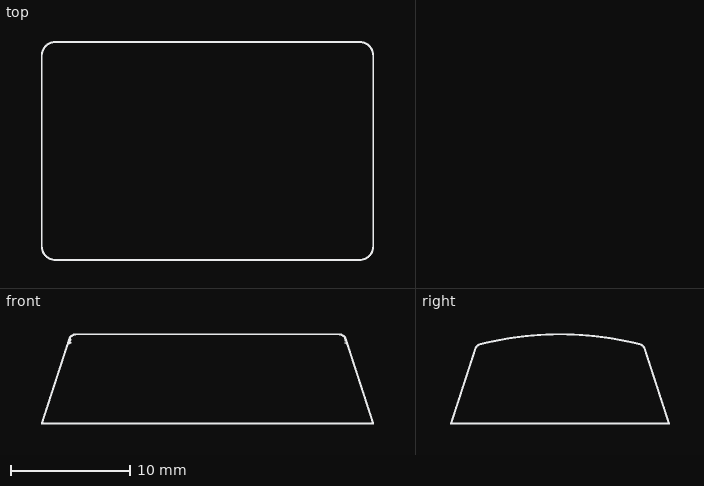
import cadquery as cq

length = 27.82
width = 18.3
height = 7.5

wall_draft = 18.0
corner_radius = 1.25
crown_radius = 27.25
rim_radius = 0.6


def tapered_block():
    """Rectangular block leaning inward on all sides, with rounded corner edges."""
    block = cq.Workplane("XY").rect(length, width).extrude(height, taper=wall_draft)
    sloping_edges = block.edges("not #Z")
    return sloping_edges.fillet(corner_radius)


def crown_cylinder():
    """Cylinder along the length whose topmost line sits at the cap height."""
    profile = cq.Workplane("YZ").center(0, height - crown_radius).circle(crown_radius)
    return profile.extrude(length / 2, both=True)


def round_rim(cap):
    """Fillet the whole outline of the domed top face."""
    return cap.faces(">Z").edges().fillet(rim_radius)


domed_block = tapered_block().intersect(crown_cylinder())
result = round_rim(domed_block)